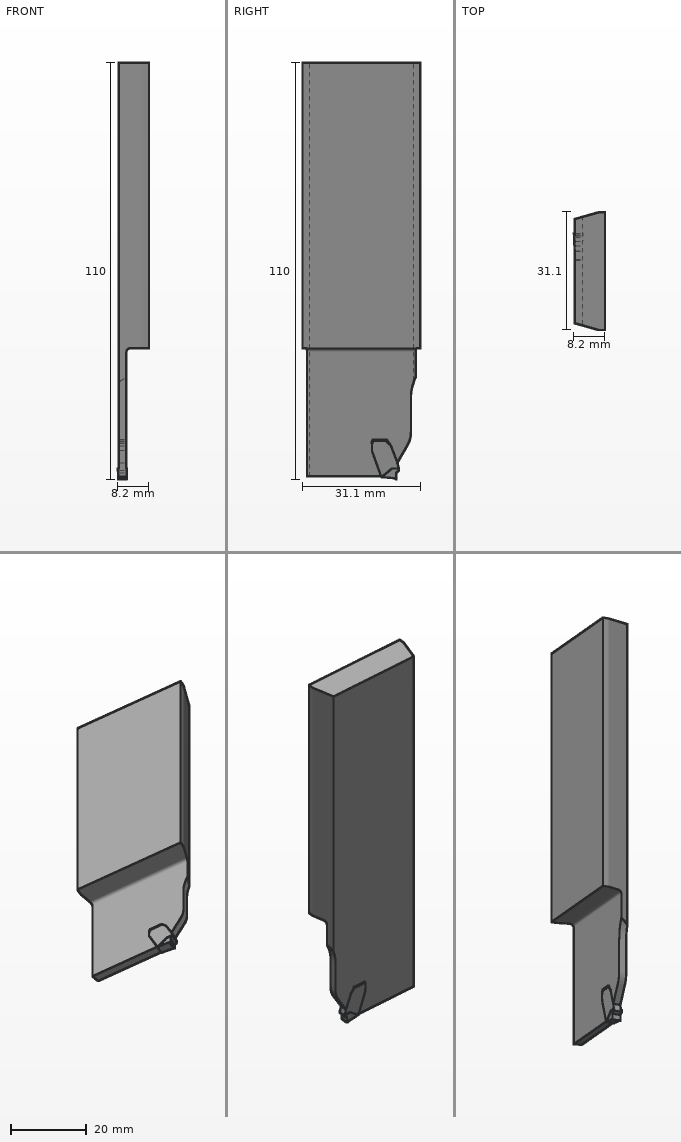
import cadquery as cq
import math

total_height = 110.0
shank_width = 31.1
front_width = 27.5
shank_thickness = 8.0
bevel_depth = 6.4

blade_thickness = 2.1
blade_bottom = 0.9
shoulder_height = 34.6
shoulder_radius = 1.0

relief_y = 13.1
relief_top = 27.2
relief_upper_end = 21.6
relief_start_y = 14.4
relief_lower_end = 12.4
nose_radius = 6.6
nose_angle = math.radians(30)
nose_end_y = 8.4

insert_top = 10.2
seat_gap = 0.3
heel_y = 5.3
heel_z = 0.7
back_y = 2.8
back_z = 7.7
tip_y = 9.2
front_lower = (9.5, 4.6)
front_upper = (7.8, 8.9)
end_front_y = 6.6
end_back_y = 3.1
end_corner_drop = 0.7
head_top_z = 3.0
head_inner_y = 8.1
rake_y = 9.9
rake_z = 2.4
face_foot_z = 1.8
flank_z = 0.3
head_front = -0.2
head_rear = blade_thickness + 0.1
tip_chamfer = 0.2
tip_land = 0.3


def side_prism(outline, x_start, thickness):
    """Extrude a (y, z) outline along +X."""
    return cq.Workplane("YZ", origin=(x_start, 0, 0)).polyline(outline).close().extrude(thickness)


def make_bar():
    return (
        cq.Workplane("XY", origin=(0, 0, blade_bottom))
        .moveTo(0, -front_width / 2)
        .lineTo(bevel_depth, -shank_width / 2)
        .lineTo(shank_thickness, -shank_width / 2)
        .lineTo(shank_thickness, shank_width / 2)
        .lineTo(bevel_depth, shank_width / 2)
        .lineTo(0, front_width / 2)
        .close()
        .extrude(total_height - blade_bottom)
    )


def make_blade_step():
    """Material behind the blade, with the rounded inner corner of the shoulder."""
    return (
        cq.Workplane("XZ", origin=(0, shank_width, 0))
        .moveTo(blade_thickness, 0)
        .lineTo(shank_thickness, 0)
        .lineTo(shank_thickness, shoulder_height)
        .lineTo(blade_thickness + shoulder_radius, shoulder_height)
        .radiusArc((blade_thickness, shoulder_height - shoulder_radius), -shoulder_radius)
        .close()
        .extrude(2 * shank_width)
    )


def make_edge_relief():
    """Material beyond the curved +Y edge of the blade."""
    upper_dy = relief_start_y - relief_y
    upper_dz = relief_top - relief_upper_end
    upper_radius = (upper_dy**2 + upper_dz**2) / (2 * upper_dy)
    nose_y = relief_y - nose_radius * (1 - math.cos(nose_angle))
    nose_z = relief_lower_end - nose_radius * math.sin(nose_angle)
    nose_end_z = nose_z - (nose_y - nose_end_y) / math.tan(nose_angle)
    return (
        cq.Workplane("YZ")
        .moveTo(shank_width, relief_top)
        .lineTo(relief_start_y, relief_top)
        .radiusArc((relief_y, relief_upper_end), -upper_radius)
        .lineTo(relief_y, relief_lower_end)
        .radiusArc((nose_y, nose_z), nose_radius)
        .lineTo(nose_end_y, nose_end_z)
        .lineTo(nose_end_y, 0)
        .lineTo(shank_width, 0)
        .close()
        .extrude(shank_thickness)
    )


def make_insert_body(end_z):
    """Clamped part of the insert, as thick as the blade, ending at the given height."""
    outline = [
        (heel_y, heel_z),
        (back_y, back_z),
        (back_y, end_z - end_corner_drop),
        (end_back_y, end_z),
        (end_front_y, end_z),
        front_upper,
        front_lower,
        (rake_y, head_top_z),
        (rake_y, rake_z),
        (tip_y, face_foot_z),
        (tip_y, blade_bottom),
    ]
    return side_prism(outline, 0, blade_thickness)


def make_cutting_head():
    """Tip of the insert, widest at the cutting edge and tapering to the blade faces."""
    outline = [
        (tip_y, 0),
        (tip_y, face_foot_z),
        (rake_y, rake_z),
        (rake_y, head_top_z),
        (head_inner_y, head_top_z),
        (heel_y, heel_z),
        (tip_y - tip_land, flank_z),
    ]
    head = side_prism(outline, head_front, head_rear - head_front)
    taper = (
        cq.Workplane("XY")
        .moveTo(0, heel_y)
        .lineTo(head_front, rake_y)
        .lineTo(head_rear, rake_y)
        .lineTo(blade_thickness, heel_y)
        .close()
        .extrude(head_top_z)
    )
    chamfered_section = (
        cq.Workplane("XZ", origin=(0, rake_y, 0))
        .moveTo(head_front + tip_chamfer, 0)
        .lineTo(head_front, tip_chamfer)
        .lineTo(head_front, head_top_z)
        .lineTo(head_rear, head_top_z)
        .lineTo(head_rear, tip_chamfer)
        .lineTo(head_rear - tip_chamfer, 0)
        .close()
        .extrude(rake_y - back_y)
    )
    return head.intersect(taper).intersect(chamfered_section)


def make_holder():
    seat = make_insert_body(insert_top + seat_gap)
    return make_bar().cut(make_blade_step()).cut(make_edge_relief()).cut(seat)


def make_insert():
    return make_insert_body(insert_top).union(make_cutting_head())


holder = make_holder()
cutting_insert = make_insert()

result = cq.Compound.makeCompound([holder.val(), cutting_insert.val()])